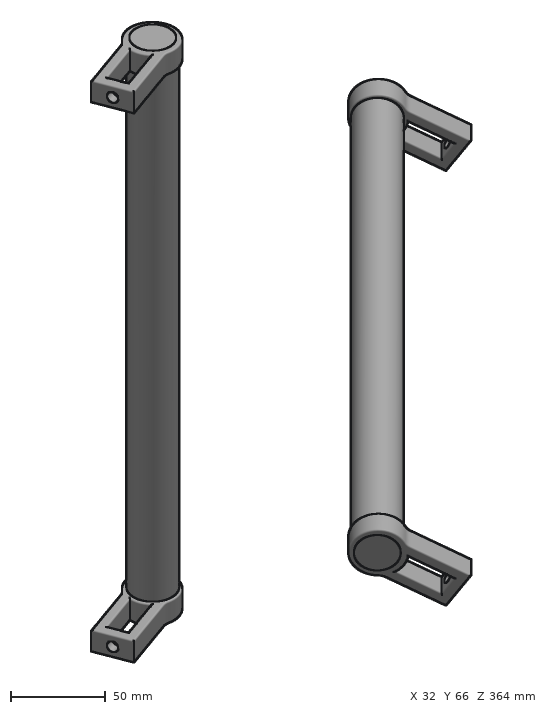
import cadquery as cq
import math


total_height = 364.0
total_depth = 66.0

grip_length = 336.0
grip_diameter = 28.0
plug_diameter = 24.8
grip_offset = 0.7

boss_diameter = 32.0
arm_width = 25.0
neck_radius = 7.3
edge_fillet = 1.0
slot_width = 12.0
end_wall = 7.0
screw_hole_diameter = 6.5

arm_height = (total_height - grip_length) / 2
arm_bottoms = (-total_height / 2, grip_length / 2)
boss_radius = boss_diameter / 2
half_width = arm_width / 2
front_y = boss_radius - total_depth
slot_length = total_depth - boss_radius - end_wall

neck_reach = boss_radius + neck_radius
neck_x = half_width + neck_radius
neck_y = -math.sqrt(neck_reach**2 - neck_x**2)


def arm_outline():
    """Round boss blended by two neck arcs into a straight arm."""
    touch_x = neck_x * boss_radius / neck_reach
    touch_y = neck_y * boss_radius / neck_reach
    angle_to_side = math.pi
    angle_to_boss = math.atan2(-neck_y, -neck_x)
    middle_angle = (angle_to_side + angle_to_boss) / 2
    middle_x = neck_x + neck_radius * math.cos(middle_angle)
    middle_y = neck_y + neck_radius * math.sin(middle_angle)
    return (
        cq.Workplane("XY")
        .moveTo(-half_width, front_y)
        .lineTo(half_width, front_y)
        .lineTo(half_width, neck_y)
        .threePointArc((middle_x, middle_y), (touch_x, touch_y))
        .threePointArc((0, boss_radius), (-touch_x, touch_y))
        .threePointArc((-middle_x, middle_y), (-half_width, neck_y))
        .close()
    )


def slot_cutter():
    """Slot through the arm, ending at the round wall of the boss."""
    boss = cq.Workplane("XY").circle(boss_radius).extrude(arm_height)
    return (
        cq.Workplane("XY")
        .center(0, -slot_length / 2)
        .rect(slot_width, slot_length)
        .extrude(arm_height)
        .cut(boss)
    )


def screw_hole_cutter():
    """Round hole through the end wall into the slot."""
    return (
        cq.Workplane("XZ", origin=(0, front_y, arm_height / 2))
        .circle(screw_hole_diameter / 2)
        .extrude(-end_wall)
    )


def upright_cylinder(diameter, height, bottom_z):
    """Cylinder standing on the shared axis of the grip and plugs."""
    return cq.Workplane("XY", origin=(0, grip_offset, bottom_z)).circle(diameter / 2).extrude(height)


def make_grip():
    """Round bar standing between the two arms."""
    return upright_cylinder(grip_diameter, grip_length, -grip_length / 2)


def make_plug(bottom_z):
    """Round plug that fills the bore of an arm, flush with both of its flat faces."""
    return upright_cylinder(plug_diameter, arm_height, bottom_z)


def make_arm(bottom_z):
    """Arm with a slot, a plug bore and a screw hole; outer and slot edges are rounded on both flat faces."""
    return (
        arm_outline()
        .extrude(arm_height)
        .cut(slot_cutter())
        .faces("<Z or >Z")
        .edges()
        .fillet(edge_fillet)
        .cut(screw_hole_cutter())
        .translate((0, 0, bottom_z))
        .cut(make_plug(bottom_z))
    )


grip = make_grip()
arms = [make_arm(bottom_z) for bottom_z in arm_bottoms]
plugs = [make_plug(bottom_z) for bottom_z in arm_bottoms]

result = cq.Compound.makeCompound(
    [
        grip.val(),
        *[arm.solids().val() for arm in arms],
        *[plug.val() for plug in plugs],
    ]
)